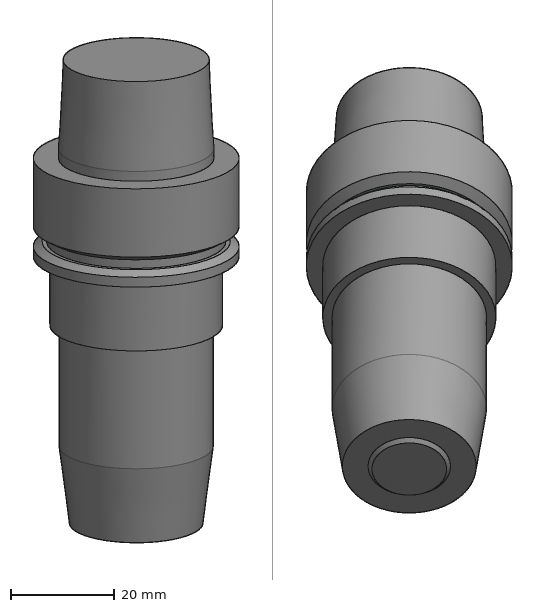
import cadquery as cq
import math


shank_length = 20.0
shank_base_diameter = 30.2
shank_collar_height = 2.0
shank_taper_ratio = 0.1

flange_diameter = 40.0
flange_length = 20.0
groove_top_depth = 13.9
groove_bottom_depth = 18.0
groove_diameter = 34.8
groove_flank_angle = 60.0
upper_flank_height = 1.2
lower_flank_height = 1.0

neck_diameter = 33.6
neck_length = 14.0
body_diameter = 30.0
overall_length = 95.0

nose_length = 15.7
nose_end_diameter = 26.0
boss_height = 0.75
boss_diameter = 16.0
boss_bevel_angle = 45.0

shank_taper_height = shank_length - shank_collar_height
shank_top_diameter = shank_base_diameter - shank_taper_ratio * shank_taper_height
flank_slope = math.tan(math.radians(groove_flank_angle))
boss_end_radius = boss_diameter / 2 - boss_height * math.tan(math.radians(boss_bevel_angle))
neck_bottom_z = -flange_length - neck_length
boss_end_z = shank_length - overall_length
nose_end_z = boss_end_z + boss_height
nose_start_z = nose_end_z + nose_length


def shank_profile():
    """Half outline of the taper shank, from the axis out and down."""
    return [
        (0, shank_length),
        (shank_top_diameter / 2, shank_length),
        (shank_base_diameter / 2, shank_collar_height),
        (shank_base_diameter / 2, 0),
    ]


def flange_profile():
    """Half outline of the flange, with flanks that open outward from the groove."""
    rim = flange_diameter / 2
    groove = groove_diameter / 2
    upper_lip_z = -groove_top_depth - upper_flank_height
    lower_lip_z = -groove_bottom_depth + lower_flank_height
    return [
        (rim, 0),
        (rim, -groove_top_depth),
        (rim - upper_flank_height * flank_slope, upper_lip_z),
        (groove, upper_lip_z),
        (groove, lower_lip_z),
        (rim - lower_flank_height * flank_slope, lower_lip_z),
        (rim, -groove_bottom_depth),
        (rim, -flange_length),
    ]


def body_profile():
    """Half outline of the neck, body, nose and end boss, back to the axis."""
    return [
        (neck_diameter / 2, -flange_length),
        (neck_diameter / 2, neck_bottom_z),
        (body_diameter / 2, neck_bottom_z),
        (body_diameter / 2, nose_start_z),
        (nose_end_diameter / 2, nose_end_z),
        (boss_diameter / 2, nose_end_z),
        (boss_end_radius, boss_end_z),
        (0, boss_end_z),
    ]


half_outline = shank_profile() + flange_profile() + body_profile()
result = cq.Workplane("XZ").polyline(half_outline).close().revolve(360, (0, 0), (0, 1))